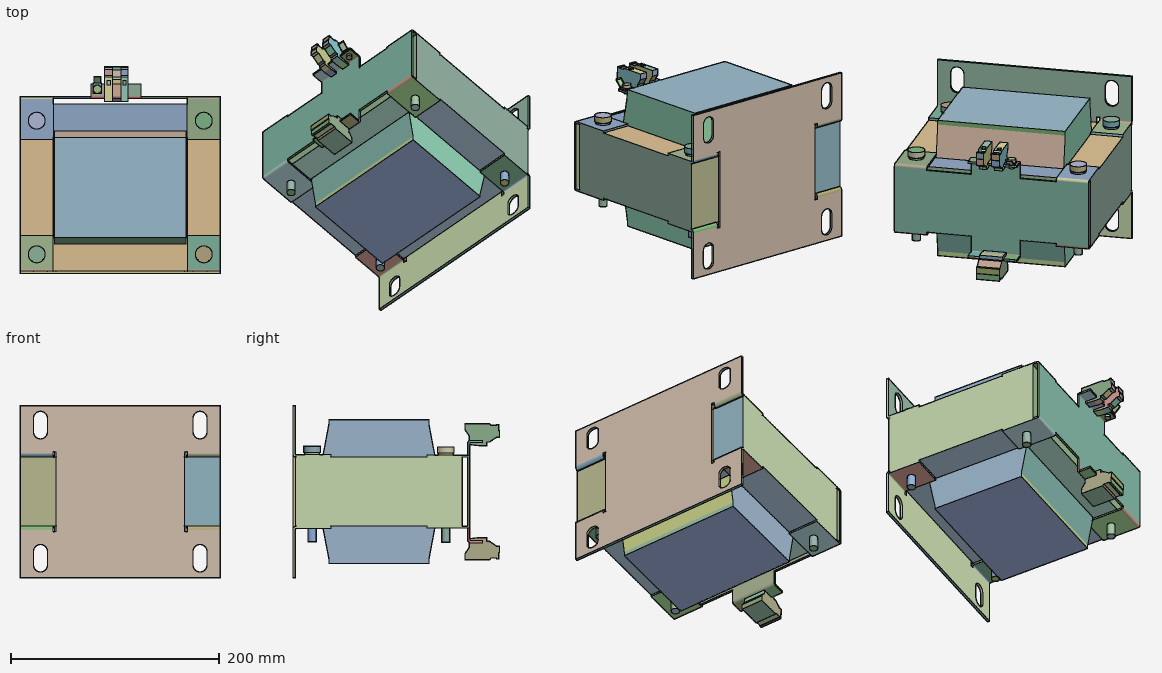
import cadquery as cq
import math


core_width = 192.0
core_depth = 160.0
core_height = 66.0
leg_width = 32.0

plate_height = 165.0
plate_thickness = 2.5
plate_bend_radius = 1.0
plate_flange_end = 36.5
notch_edge_x = 61.4
relief_width = 3.0
relief_half_height = 38.2
slot_length = 26.2
slot_width = 13.2
slot_x = 76.4
slot_z = 63.75

bracket_thickness = 2.0
bracket_bend_radius = 0.5
web_half_height = 31.5
bracket_gap = 5.0
bracket_flange_end = 128.5
tab_left = -28.2
tab_right = 20.0
tab_top = 49.0
tab_end = 181.8

coil_width = 126.0
coil_height = 138.0
coil_end_band = 4.5
coil_overhang = 6.0

head_diameter = 16.2
head_height = 6.0
collar_diameter = 14.4
collar_height = 2.0
shank_diameter = 8.0
shank_length = 85.5

block_left = -15.1
block_right = 7.6
slice_gap_left = -7.2
slice_gap_right = 0.5
pit_width = 3.2
pit_length = 4.0
pit_depth = 1.5
pit_y = 182.8
pit_centres_x = (-11.1, 4.1)

block_start = 164.8
block_end = 198.2
block_top = 65.2
groove_start = 189.9
groove_end = 195.3
groove_depth = 1.5
lip_top = 64.5
nose_root = 197.5
nose_top = 58.4
nose_bottom = 52.1
nose_slope_start = 195.2
foot_step = 188.4
foot_step_z = 47.4
foot_end = 185.9
foot_bottom = 43.9
foot_taper_start = 178.6
heel = 169.0
heel_bottom = 45.0
heel_slope_bottom = 53.2
heel_slope_top = 59.4

screw_x = -21.9
screw_y = 176.6
screw_head_diameter = 8.0
screw_head_height = 3.2
screw_diameter = 5.4
screw_tip_z = 44.4
lug_thickness = 1.5
lug_base_start = 172.6
lug_base_end = 182.4
lug_base_width = 8.2
lug_tongue_width = 6.5
lug_tongue_end = 188.6
lug_tongue_thickness = 1.0
lug_tongue_angle = 45.0

half_width = core_width / 2
half_core = core_height / 2
half_plate = plate_height / 2
core_front = plate_thickness
core_back = core_front + core_depth
window_half_width = half_width - leg_width
window_front = core_front + leg_width
window_back = core_back - leg_width
bracket_inner = core_back + bracket_gap
bracket_outer = bracket_inner + bracket_thickness
bracket_top = half_core + bracket_thickness
plate_flange_top = half_core + plate_thickness
bolt_x = half_width - leg_width / 2


def block(x0, x1, y0, y1, z0, z1):
    """Box between opposite corners."""
    return cq.Workplane("XY").box(x1 - x0, y1 - y0, z1 - z0, centered=False).translate((x0, y0, z0))


def prism(points, x0, x1):
    """Closed (Y, Z) outline extruded from x0 to x1."""
    return cq.Workplane("YZ").polyline(points).close().extrude(x1 - x0).translate((x0, 0, 0))


def cylinder(x, y, z0, z1, diameter):
    """Upright cylinder from z0 to z1."""
    return cq.Workplane("XY").center(x, y).circle(diameter / 2).extrude(z1 - z0).translate((0, 0, z0))


def bent_angle(corner, end, thickness, inner_radius, x0, x1):
    """Sheet angle whose outer corner is at corner and whose legs reach to end, both (Y, Z)."""
    cy, cz = corner
    ey, ez = end
    sy = math.copysign(1, ey - cy)
    sz = math.copysign(1, ez - cz)
    outer = inner_radius + thickness
    centre_y = cy + sy * outer
    centre_z = cz + sz * outer
    diagonal = math.sqrt(0.5)

    def bend_middle(radius):
        return (centre_y - sy * radius * diagonal, centre_z - sz * radius * diagonal)

    inner_y = cy + sy * thickness
    inner_z = cz + sz * thickness
    profile = (
        cq.Workplane("YZ")
        .moveTo(cy, ez)
        .lineTo(cy, centre_z)
        .threePointArc(bend_middle(outer), (centre_y, cz))
        .lineTo(ey, cz)
        .lineTo(ey, inner_z)
        .lineTo(centre_y, inner_z)
        .threePointArc(bend_middle(inner_radius), (inner_y, centre_z))
        .lineTo(inner_y, ez)
        .close()
    )
    return profile.extrude(x1 - x0).translate((x0, 0, 0))


def on_four_corners(shape):
    """Repeat a shape mirrored to both sides in X and in Z."""
    pair = shape.union(shape.mirror("YZ"))
    return pair.union(pair.mirror("XY"))


def make_core():
    core = block(-half_width, half_width, core_front, core_back, -half_core, half_core)
    window = block(-window_half_width, window_half_width, window_front, window_back, -half_core, half_core)
    return core.cut(window)


def make_coil():
    half_height = coil_height / 2
    band_z = half_height - coil_end_band
    top_half = [
        (window_front, 0),
        (window_front, half_core),
        (window_front - coil_overhang, half_core),
        (window_front, band_z),
        (window_front, half_height),
        (window_back, half_height),
        (window_back, band_z),
        (window_back + coil_overhang, half_core),
        (window_back, half_core),
        (window_back, 0),
    ]
    upper = prism(top_half, -coil_width / 2, coil_width / 2)
    return upper.union(upper.mirror("XY"))


def make_mounting_plate():
    plate = block(-half_width, half_width, 0, plate_thickness, -half_plate, half_plate)
    slots = (
        cq.Workplane("XZ")
        .rect(2 * slot_x, 2 * slot_z, forConstruction=True)
        .vertices()
        .slot2D(slot_length, slot_width, 90)
        .extrude(-plate_thickness)
    )
    plate = plate.cut(slots)
    relief_end = notch_edge_x + relief_width
    bend_end = half_core + plate_thickness + plate_bend_radius
    notch = block(notch_edge_x, half_width, 0, plate_thickness, 0, bend_end)
    relief = block(notch_edge_x, relief_end, 0, plate_thickness, 0, relief_half_height)
    plate = plate.cut(on_four_corners(notch.union(relief)))
    flange = bent_angle(
        (0, half_core), (plate_flange_end, relief_half_height),
        plate_thickness, plate_bend_radius, relief_end, half_width,
    )
    return plate.union(on_four_corners(flange))


def make_rear_bracket():
    corner_angle = bent_angle(
        (bracket_outer, bracket_top), (bracket_flange_end, 0),
        bracket_thickness, bracket_bend_radius, window_half_width, half_width,
    )
    web = block(
        -window_half_width, window_half_width, bracket_inner, bracket_outer, -web_half_height, web_half_height
    )
    tab = bent_angle(
        (bracket_inner, tab_top), (tab_end, web_half_height),
        bracket_thickness, bracket_bend_radius, tab_left, tab_right,
    )
    return on_four_corners(corner_angle).union(web).union(tab).union(tab.mirror("XY"))


def make_bolt(x, y, seat_z):
    head_z = seat_z + collar_height
    collar = cylinder(x, y, seat_z, head_z, collar_diameter)
    head = cylinder(x, y, head_z, head_z + head_height, head_diameter)
    shank = cylinder(x, y, head_z - shank_length, head_z, shank_diameter)
    return shank.union(collar).union(head)


def make_terminal_body():
    """Full-width body of the upper terminal block."""
    outline = [
        (block_start, block_top),
        (groove_start - groove_depth, block_top),
        (groove_start, block_top - groove_depth),
        (groove_end, block_top - groove_depth),
        (groove_end, lip_top),
        (nose_root, lip_top),
        (nose_root, nose_top),
        (block_end, nose_top),
        (block_end, nose_bottom),
        (nose_slope_start, nose_bottom),
        (foot_step, foot_step_z),
        (foot_end, foot_step_z),
        (foot_end, foot_bottom),
        (foot_taper_start, foot_bottom),
        (heel, heel_bottom),
        (heel, heel_slope_bottom),
        (block_start, heel_slope_top),
    ]
    return prism(outline, block_left, block_right)


def make_upper_terminals():
    """Two terminals with an open space between them and a test pit in each top face."""
    gap = block(slice_gap_left, slice_gap_right, 0, block_end, 0, block_top)
    terminals = make_terminal_body().cut(gap)
    half_pit_width = pit_width / 2
    half_pit_length = pit_length / 2
    for x in pit_centres_x:
        pit = block(
            x - half_pit_width, x + half_pit_width,
            pit_y - half_pit_length, pit_y + half_pit_length,
            block_top - pit_depth, block_top,
        )
        terminals = terminals.cut(pit)
    return terminals


def make_earth_lug():
    lug_top = tab_top + lug_thickness
    half_base = lug_base_width / 2
    half_tongue = lug_tongue_width / 2
    base = block(
        screw_x - half_base, screw_x + half_base, lug_base_start, lug_base_end, tab_top, lug_top
    )
    angle = math.radians(lug_tongue_angle)
    run = lug_tongue_end - lug_base_end
    rise = run * math.tan(angle)
    upright_thickness = lug_tongue_thickness / math.cos(angle)
    tongue = prism(
        [
            (lug_base_end, lug_top - upright_thickness),
            (lug_tongue_end, lug_top - upright_thickness + rise),
            (lug_tongue_end, lug_top + rise),
            (lug_base_end, lug_top),
        ],
        screw_x - half_tongue,
        screw_x + half_tongue,
    )
    head = cylinder(screw_x, screw_y, lug_top, lug_top + screw_head_height, screw_head_diameter)
    shank = cylinder(screw_x, screw_y, screw_tip_z, lug_top, screw_diameter)
    return base.union(tongue).union(head).union(shank)


result = make_core().union(make_coil()).union(make_mounting_plate()).union(make_rear_bracket())
bolt_seats = (
    (core_front + leg_width / 2, plate_flange_top),
    (core_back - leg_width / 2, bracket_top),
)
for seat_y, seat_z in bolt_seats:
    for side in (-1, 1):
        result = result.union(make_bolt(side * bolt_x, seat_y, seat_z))
result = result.union(make_upper_terminals())
result = result.union(make_terminal_body().mirror("XY"))
result = result.union(make_earth_lug())